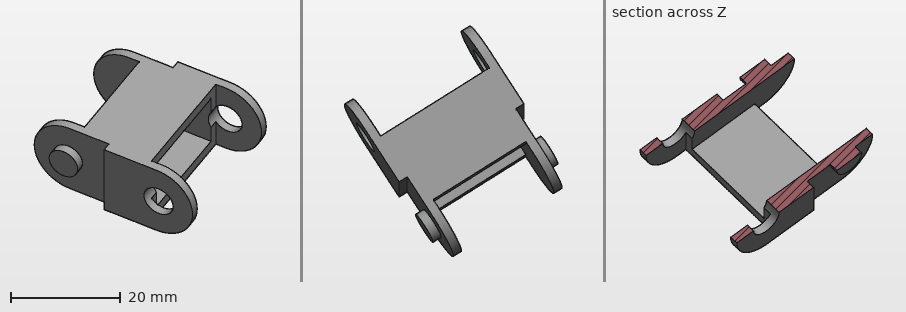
import cadquery as cq

link_length = 34.3
link_height = 15.0
inner_width = 20.0
wall = 1.75
pitch = 20.0
pin_diameter = 6.0
hole_diameter = 6.1
bridge_length = 15.1
bridge_thickness = 2.15
step_x = -1.45

end_radius = link_height / 2
half_length = link_length / 2
inner_face = inner_width / 2
step_face = inner_face + wall
outer_face = step_face + wall
bridge_end = bridge_length / 2


def box(x_start, x_end, y_start, y_end, z_start, z_end):
    """Box given by its limits along each axis."""
    return cq.Workplane("XY").box(
        x_end - x_start, y_end - y_start, z_end - z_start, centered=False
    ).translate((x_start, y_start, z_start))


def cylinder_along_y(x, diameter, y_start, y_end):
    """Cylinder on the mid-height plane with its axis along Y."""
    return (
        cq.Workplane("XZ", origin=(x, y_start, 0))
        .circle(diameter / 2)
        .extrude(y_start - y_end)
    )


def link_outline():
    """Solid with the rounded side profile, over the full width of the link."""
    return (
        cq.Workplane("XZ")
        .slot2D(link_length, link_height)
        .extrude(outer_face, both=True)
    )


def side_wall():
    """Side wall on +Y: an inner plate at the pin end, an outer one at the hole end."""
    inner_plate = box(-half_length, bridge_end, inner_face, step_face, -end_radius, end_radius)
    outer_plate = box(step_x, half_length, step_face, outer_face, -end_radius, end_radius)
    return inner_plate.union(outer_plate)


def bridge(z_start):
    """Flat plate joining the two side walls."""
    return box(
        -bridge_end, bridge_end, -step_face, step_face, z_start, z_start + bridge_thickness
    )


wall_plus_y = side_wall()
body = wall_plus_y.union(wall_plus_y.mirror("XZ"))
for bridge_bottom in (-end_radius, end_radius - bridge_thickness):
    body = body.union(bridge(bridge_bottom))
body = body.intersect(link_outline())

pin = cylinder_along_y(-pitch / 2, pin_diameter, step_face, outer_face)
body = body.union(pin).union(pin.mirror("XZ"))

result = body.cut(cylinder_along_y(pitch / 2, hole_diameter, -outer_face, outer_face))